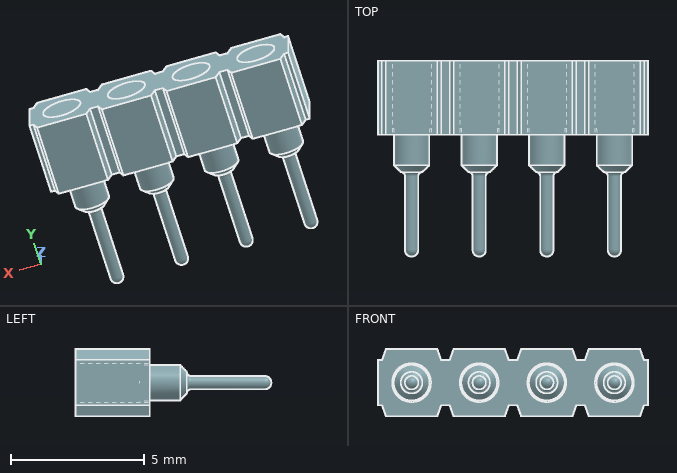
import cadquery as cq
import math

cell_count = 4
pitch = 2.54
housing_length = cell_count * pitch
housing_height = 2.54
housing_depth = 2.79

groove_depth = 0.42
groove_floor_width = 0.31
groove_mouth_width = 0.61

hole_diameter = 1.46
hole_radius = hole_diameter / 2

pin_reach = 4.57
shoulder_diameter = 1.34
shoulder_radius = shoulder_diameter / 2
shoulder_length = 1.14
cone_length = 0.25
neck_fillet = 0.15
rod_diameter = 0.51
rod_radius = rod_diameter / 2

head_recess = 0.2
head_taper_length = 0.2


def cell_center(index):
    """X position of a cell, with the row centred on X = 0."""
    return (index - (cell_count - 1) / 2) * pitch


def make_groove(x, side):
    """Trapezoid groove centred on x; side is +1 for the top, -1 for the bottom."""
    mouth_z = side * housing_height / 2
    floor_z = mouth_z - side * groove_depth
    return (
        cq.Workplane("XZ")
        .moveTo(x - groove_mouth_width / 2, mouth_z)
        .lineTo(x - groove_floor_width / 2, floor_z)
        .lineTo(x + groove_floor_width / 2, floor_z)
        .lineTo(x + groove_mouth_width / 2, mouth_z)
        .close()
        .extrude(-housing_depth)
    )


def make_housing():
    """Grooved bar with a through hole in every cell."""
    body = cq.Workplane("XZ").rect(housing_length, housing_height).extrude(-housing_depth)
    for boundary in range(cell_count + 1):
        x = (boundary - cell_count / 2) * pitch
        for side in (1, -1):
            body = body.cut(make_groove(x, side))
    hole_centers = [(cell_center(index), 0) for index in range(cell_count)]
    holes = cq.Workplane("XZ").pushPoints(hole_centers).circle(hole_radius).extrude(-housing_depth)
    return body.cut(holes)


def make_pin(x):
    """Turned pin along Y: head, taper, shoulder, cone, filleted neck and round-ended rod."""
    cone_start = -shoulder_length
    cone_end = cone_start - cone_length
    neck_radius = rod_radius + neck_fillet
    neck_end = cone_end - neck_fillet
    dome_center = rod_radius - pin_reach
    diagonal = math.sqrt(0.5)
    neck_middle = (neck_radius - neck_fillet * diagonal, neck_end + neck_fillet * diagonal)
    dome_middle = (rod_radius * diagonal, dome_center - rod_radius * diagonal)
    profile = (
        cq.Workplane("XY")
        .moveTo(0, housing_depth)
        .lineTo(hole_radius, housing_depth)
        .lineTo(hole_radius, head_recess + head_taper_length)
        .lineTo(shoulder_radius, head_recess)
        .lineTo(shoulder_radius, cone_start)
        .lineTo(neck_radius, cone_end)
        .threePointArc(neck_middle, (rod_radius, neck_end))
        .lineTo(rod_radius, dome_center)
        .threePointArc(dome_middle, (0, -pin_reach))
        .close()
    )
    return profile.revolve(360, (0, 0, 0), (0, 1, 0)).translate((x, 0, 0))


housing = make_housing()
pins = [make_pin(cell_center(index)) for index in range(cell_count)]

result = cq.Compound.makeCompound([housing.val(), *[pin.val() for pin in pins]])